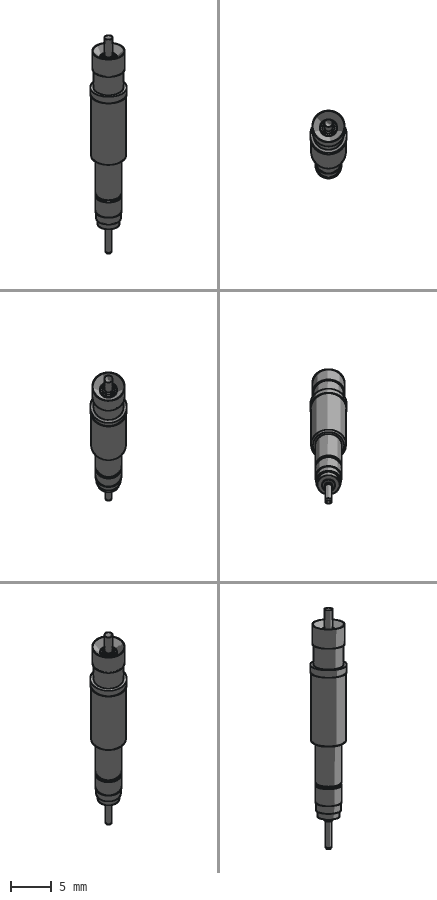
import cadquery as cq

total_height = 31.0

tip_diameter = 0.5
tip_chamfer_height = 0.25
contact_diameter = 0.85
contact_top = 3.63
collar_chamfer_height = 0.1
collar_diameter = 1.0
collar_top = 4.0
step_diameter = 1.6
step_top = 4.2

nose_diameter = 2.73
nose_top = 5.0
shoulder_diameter = 3.07
shoulder_top = 6.0
barrel_diameter = 3.25
barrel_top = 13.8

groove_middle = 8.4
groove_width = 0.37
groove_floor_width = 0.1
groove_depth = 0.15

body_diameter = 4.3
body_chamfer_height = 0.2
body_chamfer_width = 0.25
body_top = 22.85
flange_diameter = 4.5
flange_top = 23.8

neck_diameter = 3.7
neck_top = 26.5
cap_diameter = 4.0
cap_top = 29.02

funnel_mouth_diameter = 3.85
funnel_floor_diameter = 2.15
funnel_depth = 0.87
bushing_diameter = 1.98
bushing_height = 0.1
insulator_diameter = 1.5
insulator_height = 0.2

solder_pin_diameter = 1.0
dimple_depth = 0.53


def cylinder(diameter, bottom, top):
    """Cylinder on the Z axis between two heights."""
    return cq.Workplane("XY").workplane(offset=bottom).circle(diameter / 2).extrude(top - bottom)


def revolve_section(points):
    """Solid of revolution about Z from a closed (radius, height) section."""
    return cq.Workplane("XZ").polyline(points).close().revolve(360, (0, 0, 0), (0, 1, 0))


def cone(bottom_diameter, top_diameter, bottom, top):
    """Frustum on the Z axis; a bottom diameter of 0 gives a point."""
    section = [(0, bottom), (top_diameter / 2, top), (0, top)]
    if bottom_diameter > 0:
        section.insert(1, (bottom_diameter / 2, bottom))
    return revolve_section(section)


def contact_pin():
    tip = cone(tip_diameter, contact_diameter, 0, tip_chamfer_height)
    shank = cylinder(contact_diameter, tip_chamfer_height, contact_top)
    collar_bottom = contact_top + collar_chamfer_height
    collar_chamfer = cone(contact_diameter, collar_diameter, contact_top, collar_bottom)
    collar = cylinder(collar_diameter, collar_bottom, collar_top)
    step = cylinder(step_diameter, collar_top, step_top)
    return tip.union(shank).union(collar_chamfer).union(collar).union(step)


def barrel():
    nose = cylinder(nose_diameter, step_top, nose_top)
    shoulder = cylinder(shoulder_diameter, nose_top, shoulder_top)
    sleeve = cylinder(barrel_diameter, shoulder_top, barrel_top)
    outer_radius = barrel_diameter / 2
    groove = revolve_section([
        (outer_radius, groove_middle - groove_width / 2),
        (outer_radius - groove_depth, groove_middle - groove_floor_width / 2),
        (outer_radius - groove_depth, groove_middle + groove_floor_width / 2),
        (outer_radius, groove_middle + groove_width / 2),
    ])
    return nose.union(shoulder).union(sleeve.cut(groove))


def body():
    chamfer_top = barrel_top + body_chamfer_height
    chamfer = cone(body_diameter - 2 * body_chamfer_width, body_diameter, barrel_top, chamfer_top)
    main = cylinder(body_diameter, chamfer_top, body_top)
    flange = cylinder(flange_diameter, body_top, flange_top)
    return chamfer.union(main).union(flange)


def head():
    neck = cylinder(neck_diameter, flange_top, neck_top)
    cap = cylinder(cap_diameter, neck_top, cap_top)
    funnel_floor = cap_top - funnel_depth
    funnel = cone(funnel_floor_diameter, funnel_mouth_diameter, funnel_floor, cap_top)
    bushing_top = funnel_floor + bushing_height
    bushing = cone(funnel_floor_diameter, bushing_diameter, funnel_floor, bushing_top)
    insulator = cylinder(insulator_diameter, bushing_top, bushing_top + insulator_height)
    socket = neck.union(cap).cut(funnel).union(bushing).union(insulator)
    solder_pin = cylinder(solder_pin_diameter, bushing_top, total_height)
    dimple = cone(0, solder_pin_diameter, total_height - dimple_depth, total_height)
    return socket.union(solder_pin.cut(dimple))


result = contact_pin().union(barrel()).union(body()).union(head())